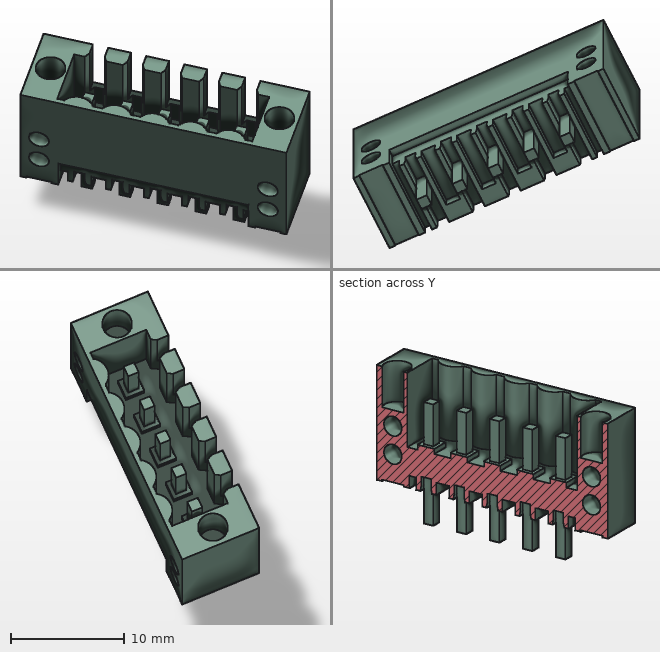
import cadquery as cq

PITCH = 3.5
PIN_COUNT = 5
PIN_XS = [(i - (PIN_COUNT - 1) / 2) * PITCH for i in range(PIN_COUNT)]

LENGTH = 24.5
DEPTH = 7.45
HEIGHT = 11.05
FRONT_Y = -DEPTH / 2
BACK_Y = DEPTH / 2

PIN_SIDE = 1.0
PIN_Y = -0.2
PIN_TAIL = 3.2
PIN_TOP = 8.43

CAVITY_LENGTH = 17.95
CAVITY_FLOOR = 3.92
FRONT_WALL = 0.47
BACK_WALL = 1.6
CAVITY_FRONT_Y = FRONT_Y + FRONT_WALL
CAVITY_BACK_Y = BACK_Y - BACK_WALL

RIB_RADIUS = 1.6
RIB_HEIGHT = 0.74

GROOVE_MOUTH = 1.95
GROOVE_BOTTOM = 0.78
GROOVE_DEPTH = 1.05
SLOT_WIDTH = 1.4
SLOT_LEDGE = 5.95

COLLAR_SIDE = 1.8
COLLAR_HEIGHT = 0.5

FLANGE_INSET = 1.72
FLANGE_X = LENGTH / 2 - FLANGE_INSET
FLANGE_XS = [-FLANGE_X, FLANGE_X]
SCREW_HOLE_DIAMETER = 2.62
SCREW_HOLE_DEPTH = 3.92
CROSS_HOLE_DIAMETER = 1.84
CROSS_HOLE_ZS = [2.87, 5.55]
RELIEF_WIDTH = 2.3
RELIEF_HEIGHT = 0.15

RECESS_LENGTH = PIN_COUNT * PITCH
RECESS_HEIGHT = 2.87
RECESS_DEPTH = 0.69
NOTCH_WIDTH = 1.35
NOTCH_HEIGHT = 1.18
TAIL_SLOT_HEIGHT = 1.4
TAIL_SLOT_FLARE = 0.11
TAIL_SLOT_FLARE_HEIGHT = 0.5


def box(x_min, x_max, y_min, y_max, z_min, z_max):
    """Axis-aligned block between the given limits."""
    return cq.Workplane("XY").box(
        x_max - x_min, y_max - y_min, z_max - z_min, centered=False
    ).translate((x_min, y_min, z_min))


def centered_box(x, width, y_min, y_max, z_min, z_max):
    """Block of the given width centred on x."""
    return box(x - width / 2, x + width / 2, y_min, y_max, z_min, z_max)


def square_post(x, side, z_min, z_max):
    """Square upright post on the pin row."""
    return centered_box(x, side, PIN_Y - side / 2, PIN_Y + side / 2, z_min, z_max)


def cavity():
    """Open space of the cavity: front ribs and floor collars left standing, back grooves added."""
    space = centered_box(0, CAVITY_LENGTH, CAVITY_FRONT_Y, CAVITY_BACK_Y, CAVITY_FLOOR, HEIGHT)
    rib_center_y = CAVITY_FRONT_Y + RIB_HEIGHT - RIB_RADIUS
    for x in PIN_XS:
        rib = (
            cq.Workplane("XY", origin=(x, rib_center_y, CAVITY_FLOOR))
            .circle(RIB_RADIUS)
            .extrude(HEIGHT - CAVITY_FLOOR)
        )
        space = space.cut(rib)
        space = space.cut(square_post(x, COLLAR_SIDE, CAVITY_FLOOR, CAVITY_FLOOR + COLLAR_HEIGHT))
        space = space.union(back_groove(x))
    return space


def back_groove(x):
    """Tapered groove from the cavity into the back wall, opened to the back above the ledge."""
    groove = (
        cq.Workplane("XY", origin=(x, CAVITY_BACK_Y, CAVITY_FLOOR))
        .polyline([
            (-GROOVE_MOUTH / 2, 0),
            (GROOVE_MOUTH / 2, 0),
            (GROOVE_BOTTOM / 2, GROOVE_DEPTH),
            (-GROOVE_BOTTOM / 2, GROOVE_DEPTH),
        ])
        .close()
        .extrude(HEIGHT - CAVITY_FLOOR)
    )
    slot = centered_box(x, SLOT_WIDTH, CAVITY_BACK_Y, BACK_Y, SLOT_LEDGE, HEIGHT)
    return groove.union(slot)


def flange_cuts(x):
    """Blind screw hole, two cross holes and the shallow underside relief of one end flange."""
    cuts = (
        cq.Workplane("XY", origin=(x, 0, HEIGHT))
        .circle(SCREW_HOLE_DIAMETER / 2)
        .extrude(-SCREW_HOLE_DEPTH)
    )
    for z in CROSS_HOLE_ZS:
        cross_hole = (
            cq.Workplane("XZ", origin=(x, BACK_Y, z)).circle(CROSS_HOLE_DIAMETER / 2).extrude(DEPTH)
        )
        cuts = cuts.union(cross_hole)
    return cuts.union(centered_box(x, RELIEF_WIDTH, FRONT_Y, BACK_Y, 0, RELIEF_HEIGHT))


def cut_tail_slots(body):
    """Slots running front to back under the pins, as wide as a pin and flared at the underside."""
    half = PIN_SIDE / 2
    mouth = half + TAIL_SLOT_FLARE
    for x in PIN_XS:
        slot = (
            cq.Workplane("XZ", origin=(x, BACK_Y, 0))
            .polyline([
                (-mouth, 0),
                (mouth, 0),
                (half, TAIL_SLOT_FLARE_HEIGHT),
                (half, TAIL_SLOT_HEIGHT),
                (-half, TAIL_SLOT_HEIGHT),
                (-half, TAIL_SLOT_FLARE_HEIGHT),
            ])
            .close()
            .extrude(DEPTH)
        )
        body = body.cut(slot)
    return body


def cut_notches(body):
    """Notches between the feet, back to the cavity back wall; the half-width end ones run through."""
    for x in PIN_XS[:-1]:
        middle = x + PITCH / 2
        body = body.cut(centered_box(middle, NOTCH_WIDTH, FRONT_Y, CAVITY_BACK_Y, 0, NOTCH_HEIGHT))
    row_end = RECESS_LENGTH / 2
    foot_end = row_end - NOTCH_WIDTH / 2
    body = body.cut(box(-row_end, -foot_end, FRONT_Y, BACK_Y, 0, NOTCH_HEIGHT))
    return body.cut(box(foot_end, row_end, FRONT_Y, BACK_Y, 0, NOTCH_HEIGHT))


def make_housing():
    """Housing block with its cavity, flange holes, underside features and pin holes."""
    body = centered_box(0, LENGTH, FRONT_Y, BACK_Y, 0, HEIGHT)
    body = body.cut(cavity())
    for x in FLANGE_XS:
        body = body.cut(flange_cuts(x))
    body = body.cut(centered_box(0, RECESS_LENGTH, FRONT_Y, FRONT_Y + RECESS_DEPTH, 0, RECESS_HEIGHT))
    body = cut_tail_slots(body)
    body = cut_notches(body)
    for x in PIN_XS:
        body = body.cut(square_post(x, PIN_SIDE, 0, HEIGHT))
    return body


def make_pin(x):
    """Straight square pin from its tail tip up into the cavity."""
    return square_post(x, PIN_SIDE, -PIN_TAIL, PIN_TOP)


housing = make_housing()
pins = [make_pin(x) for x in PIN_XS]

result = cq.Compound.makeCompound([housing.solids().val(), *[pin.val() for pin in pins]])